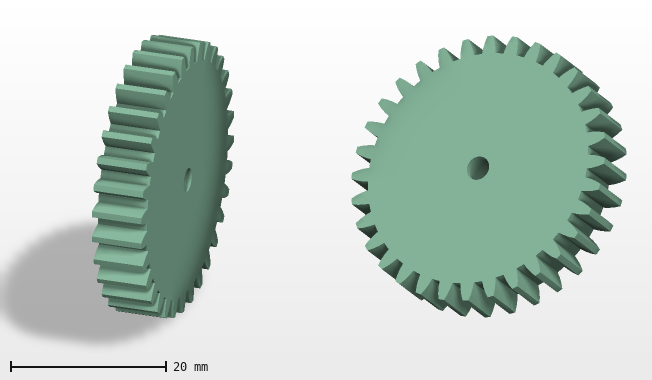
import cadquery as cq
import math

tooth_count = 32
outer_size = 35.88
root_radius = 15.6
face_width = 6.75
bore_diameter = 3.15

root_thickness = 1.9
pitch_thickness = 1.5
tip_angle = 2.6

tooth_pitch = 360 / tooth_count
first_centre = tooth_pitch / 2
tip_half = tip_angle / 2
tip_radius = outer_size / 2 / math.cos(math.radians(first_centre - tip_half))

module = 2 * tip_radius / (tooth_count + 2)
pitch_radius = module * tooth_count / 2


def polar(radius, angle):
    """Point at the given radius and angle (degrees) around the gear axis."""
    return (radius * math.cos(math.radians(angle)), radius * math.sin(math.radians(angle)))


def half_angle(radius, thickness):
    """Angle from a tooth's centre line to its flank, in degrees."""
    return math.degrees(math.asin(thickness / 2 / radius))


def gear_outline():
    root_half = half_angle(root_radius, root_thickness)
    pitch_half = half_angle(pitch_radius, pitch_thickness)

    outline = cq.Workplane("YZ").moveTo(*polar(root_radius, first_centre - root_half))
    for tooth in range(tooth_count):
        centre = first_centre + tooth * tooth_pitch
        gap_centre = centre + tooth_pitch / 2
        next_root = centre + tooth_pitch - root_half
        outline = (
            outline
            .threePointArc(polar(pitch_radius, centre - pitch_half), polar(tip_radius, centre - tip_half))
            .threePointArc(polar(tip_radius, centre), polar(tip_radius, centre + tip_half))
            .threePointArc(polar(pitch_radius, centre + pitch_half), polar(root_radius, centre + root_half))
            .threePointArc(polar(root_radius, gap_centre), polar(root_radius, next_root))
        )
    return outline.close()


gear = gear_outline().extrude(face_width).translate((-face_width / 2, 0, 0))

result = gear.faces("<X").workplane(origin=(0, 0, 0)).hole(bore_diameter)